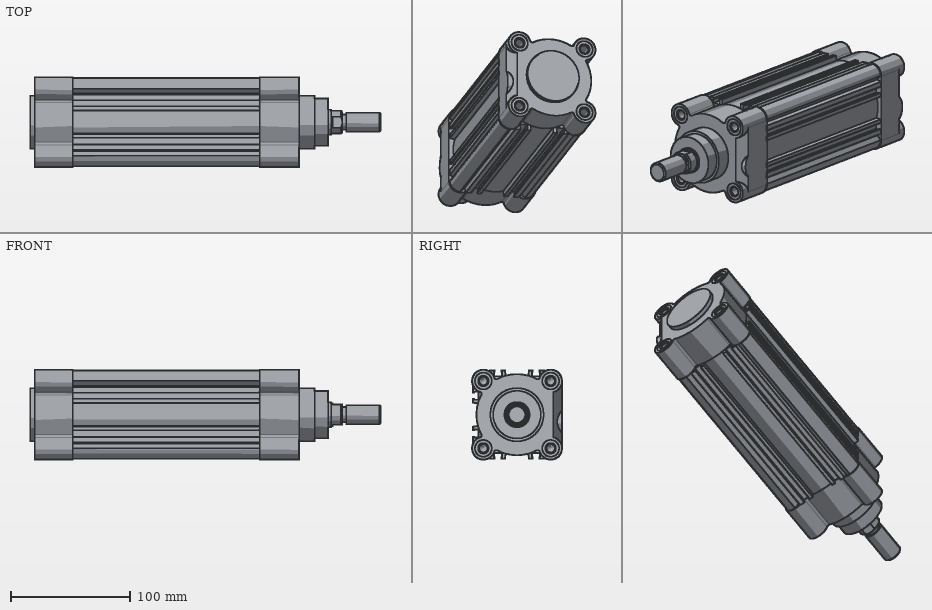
import cadquery as cq
import math

REAR_PILOT_END = 3.8
REAR_CAP_END = 35.5
FRONT_CAP_START = 192.3
FRONT_CAP_END = 225.5
FRONT_PILOT_END = 238.5
NOSE_END = 250.0
WIPER_END = 252.3
FLAT_START = 253.7
NECK_START = 261.7
THREAD_START = 265.0
ROD_TIP = 294.0

CAP_WIDTH = 75.5
CAP_HALF = CAP_WIDTH / 2
SCREW_OFFSET = 28.2
BOSS_RADIUS = CAP_HALF - SCREW_OFFSET
DRUM_RADIUS = 34.0
BOSS_FILLET = 1.8
PILOT_RADIUS = 22.3
NOSE_RADIUS = 20.0
WIPER_RADIUS = 10.5

PORT_CHAMFER = 7.4
PORT_PAD_RADIUS = 13.2
PORT_PAD_Z = -6.0

SPOT_FACE_RADIUS = 7.0
SPOT_FACE_DEPTH = 0.3
HOLE_RADIUS = 3.5
HOLE_MOUTH_RADIUS = 4.5
HOLE_DEPTH = 16.0
DRILL_TIP_ANGLE = 118

BARREL_HALF = 37.0
BARREL_CORNER_RADIUS = BARREL_HALF - SCREW_OFFSET
RIB_EDGE = 10.0
RIB_FOOT = 9.5
SLOT_CENTRE = 16.0
SLOT_MOUTH_WIDTH = 5.3
SLOT_WIDTH = 6.5
SLOT_FLOOR = 32.3
SLOT_LIP = 1.2
NOTCH_INNER = 23.0
NOTCH_BOTTOM = 24.5
NOTCH_DEPTH = 3.5

ROD_RADIUS = 9.7
ROD_CHAMFER = 1.2
FLAT_WIDTH = 17.0
NECK_RADIUS = 6.5
THREAD_DIAMETER = 16.2
THREAD_RADIUS = THREAD_DIAMETER / 2
THREAD_CHAMFER = 1.2


def disc(start, end, radius, y=0, z=0):
    """Cylinder along X between two stations."""
    return cq.Workplane("YZ", origin=(start, y, z)).circle(radius).extrude(end - start)


def fixing_hole(y, z):
    """Spot-faced, countersunk blind hole with a drill tip, entering along +X from x = 0."""
    mouth = SPOT_FACE_DEPTH + HOLE_MOUTH_RADIUS - HOLE_RADIUS
    tip = HOLE_RADIUS / math.tan(math.radians(DRILL_TIP_ANGLE / 2))
    half_section = [
        (0, 0),
        (0, SPOT_FACE_RADIUS),
        (SPOT_FACE_DEPTH, SPOT_FACE_RADIUS),
        (SPOT_FACE_DEPTH, HOLE_MOUTH_RADIUS),
        (mouth, HOLE_RADIUS),
        (HOLE_DEPTH, HOLE_RADIUS),
        (HOLE_DEPTH + tip, 0),
    ]
    hole = cq.Workplane("XY").polyline(half_section).close().revolve(360, (0, 0, 0), (1, 0, 0))
    return hole.translate((0, y, z))


def cap_block(length):
    """End cap without its pilot: outer face at x = 0, body towards +X, port side on +Y."""
    corners = [(y, z) for y in (-SCREW_OFFSET, SCREW_OFFSET) for z in (-SCREW_OFFSET, SCREW_OFFSET)]
    block = disc(0, length, DRUM_RADIUS)
    for y, z in corners:
        block = block.union(disc(0, length, BOSS_RADIUS, y, z))

    boss_distance = SCREW_OFFSET * math.sqrt(2)
    along = (DRUM_RADIUS**2 - BOSS_RADIUS**2 + boss_distance**2) / (2 * boss_distance)
    across = math.sqrt(DRUM_RADIUS**2 - along**2)
    far = (along + across) / math.sqrt(2)
    near = (along - across) / math.sqrt(2)
    for y, z in ((far, near), (near, far)):
        for y_sign in (-1, 1):
            for z_sign in (-1, 1):
                crossing = cq.NearestToPointSelector((length / 2, y_sign * y, z_sign * z))
                block = block.edges("|X").edges(crossing).fillet(BOSS_FILLET)

    chamfer_wedge = (
        cq.Workplane("XY", origin=(0, 0, -SCREW_OFFSET))
        .polyline([(0, CAP_HALF), (0, CAP_HALF - PORT_CHAMFER), (PORT_CHAMFER, CAP_HALF)])
        .close()
        .extrude(2 * SCREW_OFFSET)
    )
    port_side = (
        cq.Workplane("XY", origin=(0, 0, -SCREW_OFFSET))
        .rect(length, CAP_HALF, centered=False)
        .extrude(2 * SCREW_OFFSET)
    )
    port_pad = (
        cq.Workplane("XZ", origin=(length / 2, CAP_HALF, PORT_PAD_Z))
        .circle(PORT_PAD_RADIUS)
        .extrude(CAP_HALF - SCREW_OFFSET)
    )
    block = block.union(port_side).cut(chamfer_wedge).union(port_pad)

    for z in (-SCREW_OFFSET, SCREW_OFFSET):
        block = block.union(disc(0, length, BOSS_RADIUS, SCREW_OFFSET, z))

    for y, z in corners:
        block = block.cut(fixing_hole(y, z))
    return block


def make_rear_cap():
    block = cap_block(REAR_CAP_END - REAR_PILOT_END).translate((REAR_PILOT_END, 0, 0))
    return block.union(disc(0, REAR_PILOT_END, PILOT_RADIUS))


def make_front_cap():
    """Mirrored cap with a stepped nose and a bore for the rod."""
    block = cap_block(FRONT_CAP_END - FRONT_CAP_START).mirror("YZ").translate((FRONT_CAP_END, 0, 0))
    nose = (
        disc(FRONT_CAP_END, FRONT_PILOT_END, PILOT_RADIUS)
        .union(disc(FRONT_PILOT_END, NOSE_END, NOSE_RADIUS))
        .union(disc(NOSE_END, WIPER_END, WIPER_RADIUS))
    )
    return block.union(nose).cut(disc(FRONT_CAP_START, WIPER_END, ROD_RADIUS))


def side_cutter(side):
    """Everything removed from the +Z face on one side (side = 1 or -1) of the barrel."""
    length = FRONT_CAP_START - REAR_CAP_END
    plane = cq.Workplane("YZ", origin=(REAR_CAP_END, 0, 0))
    mouth_inner = SLOT_CENTRE - SLOT_MOUTH_WIDTH / 2
    mouth_outer = SLOT_CENTRE + SLOT_MOUTH_WIDTH / 2
    slot_inner = SLOT_CENTRE - SLOT_WIDTH / 2
    slot_outer = SLOT_CENTRE + SLOT_WIDTH / 2
    lip_underside = BARREL_HALF - SLOT_LIP
    t_slot = [
        (mouth_inner, BARREL_HALF),
        (mouth_inner, lip_underside),
        (slot_inner, lip_underside),
        (slot_inner, SLOT_FLOOR),
        (slot_outer, SLOT_FLOOR),
        (slot_outer, lip_underside),
        (mouth_outer, lip_underside),
        (mouth_outer, BARREL_HALF),
    ]
    notch = [
        (NOTCH_INNER, BARREL_HALF),
        (NOTCH_BOTTOM, BARREL_HALF - NOTCH_DEPTH),
        (SCREW_OFFSET, BARREL_HALF),
    ]
    cutter = None
    for outline in (t_slot, notch):
        points = [(side * y, z) for y, z in outline]
        piece = plane.polyline(points).close().extrude(length)
        cutter = piece if cutter is None else cutter.union(piece)
    return cutter


def make_barrel():
    """Square extrusion with rounded corners; each face carries a round channel, slots and notches."""
    length = FRONT_CAP_START - REAR_CAP_END
    plane = cq.Workplane("YZ", origin=(REAR_CAP_END, 0, 0))
    barrel = plane.rect(2 * BARREL_HALF, 2 * BARREL_HALF).extrude(length)
    barrel = barrel.edges("|X").fillet(BARREL_CORNER_RADIUS)

    foot_height = math.sqrt(DRUM_RADIUS**2 - RIB_FOOT**2)
    channel = (
        plane.moveTo(-RIB_EDGE, BARREL_HALF)
        .lineTo(-RIB_FOOT, foot_height)
        .threePointArc((0, DRUM_RADIUS), (RIB_FOOT, foot_height))
        .lineTo(RIB_EDGE, BARREL_HALF)
        .close()
        .extrude(length)
    )
    face_cutter = channel.union(side_cutter(1)).union(side_cutter(-1))
    for quarter_turn in range(4):
        barrel = barrel.cut(face_cutter.rotate((0, 0, 0), (1, 0, 0), 90 * quarter_turn))
    return barrel


def make_rod():
    """Rod with two wrench flats, a thread relief neck and a plain thread cylinder."""
    shank = disc(FRONT_CAP_START, NECK_START, ROD_RADIUS).faces(">X").chamfer(ROD_CHAMFER)
    flat_length = NECK_START - FLAT_START
    flat_centre = (FLAT_START + NECK_START) / 2
    for side in (-1, 1):
        flat_z = side * (FLAT_WIDTH / 2 + ROD_RADIUS / 2)
        flat_cutter = cq.Workplane("XY", origin=(flat_centre, 0, flat_z))
        shank = shank.cut(flat_cutter.box(flat_length, 2 * ROD_RADIUS, ROD_RADIUS))
    neck = disc(NECK_START, THREAD_START, NECK_RADIUS)
    thread = disc(THREAD_START, ROD_TIP, THREAD_RADIUS).faces(">X").chamfer(THREAD_CHAMFER)
    return shank.union(neck).union(thread)


rear_cap = make_rear_cap()
front_cap = make_front_cap()
barrel = make_barrel()
rod = make_rod()

result = cq.Compound.makeCompound([rear_cap.val(), barrel.val(), front_cap.val(), rod.val()])